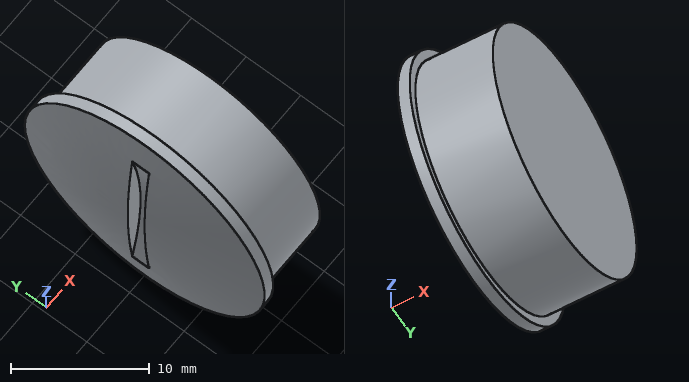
import cadquery as cq
import math

flange_diameter = 22.0
body_diameter = 20.4
dome_height = 1.0
flange_thickness = 1.01
body_length = 6.5
slot_width = 1.55
slot_length = 16.0
slot_depth = 1.5

flange_radius = flange_diameter / 2
body_radius = body_diameter / 2
flange_back = dome_height + flange_thickness
overall_length = flange_back + body_length


def arc_radius(half_chord, sagitta):
    """Radius of the circular arc with the given half chord and rise."""
    return (half_chord**2 + sagitta**2) / (2 * sagitta)


def dome_surface_x(radius_from_axis):
    """X of the dome surface at a distance from the plug axis."""
    return dome_radius - math.sqrt(dome_radius**2 - radius_from_axis**2)


dome_radius = arc_radius(flange_radius, dome_height)


def make_plug():
    """Domed flange and plain body, revolved about the X axis."""
    mid_radius = flange_radius / 2
    return (
        cq.Workplane("XY")
        .moveTo(0, 0)
        .threePointArc((dome_surface_x(mid_radius), mid_radius), (dome_height, flange_radius))
        .lineTo(flange_back, flange_radius)
        .lineTo(flange_back, body_radius)
        .lineTo(overall_length, body_radius)
        .lineTo(overall_length, 0)
        .close()
        .revolve(360, (0, 0, 0), (1, 0, 0))
    )


def make_slot_cutter():
    """Disc whose rim cuts a coin slot, deepest at the plug axis."""
    half_length = slot_length / 2
    slot_end_x = dome_surface_x(half_length)
    disc_radius = arc_radius(half_length, slot_depth - slot_end_x)
    return (
        cq.Workplane("XZ")
        .center(slot_depth - disc_radius, 0)
        .circle(disc_radius)
        .extrude(slot_width / 2, both=True)
    )


result = make_plug().cut(make_slot_cutter())